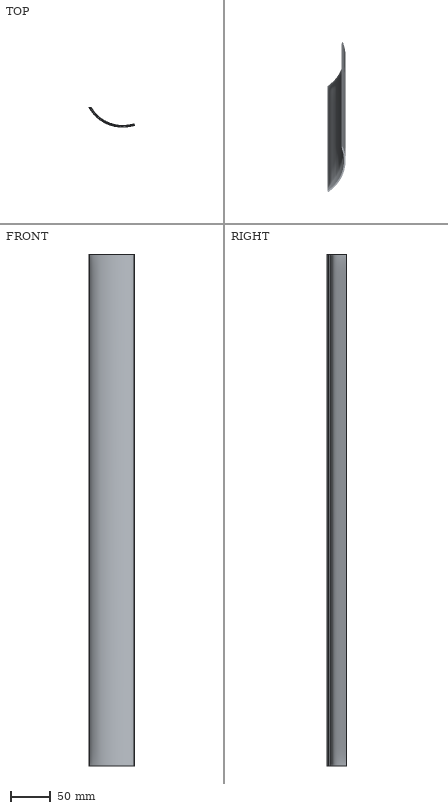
import cadquery as cq
import math

WIDTH = 57.75
DEPTH = 25.16
LENGTH = 654.0

THICKNESS = 2.0
OUTER_RADIUS = 48.8
INNER_RADIUS = OUTER_RADIUS - THICKNESS
LEFT_ANGLE = math.radians(-59.5)
RIGHT_ANGLE = math.radians(11.85)
MIDDLE_ANGLE = (LEFT_ANGLE + RIGHT_ANGLE) / 2


def on_circle(radius, angle):
    """Point on a circle about the arc axis, with the angle measured from -Y toward +X."""
    return (radius * math.sin(angle), -radius * math.cos(angle))


def along_tangent(start, angle, distance):
    """Point at a distance from start, along the arc's tangent at the angle toward +X."""
    return (start[0] + distance * math.cos(angle), start[1] + distance * math.sin(angle))


def left_flange_end(arc_end):
    """Where the left flange line through arc_end meets the end cut, which is parallel to X."""
    cut_y = DEPTH - OUTER_RADIUS
    distance = (cut_y - arc_end[1]) / math.sin(LEFT_ANGLE)
    return along_tangent(arc_end, LEFT_ANGLE, distance)


outer_left = on_circle(OUTER_RADIUS, LEFT_ANGLE)
outer_right = on_circle(OUTER_RADIUS, RIGHT_ANGLE)
inner_left = on_circle(INNER_RADIUS, LEFT_ANGLE)
inner_right = on_circle(INNER_RADIUS, RIGHT_ANGLE)

outer_left_tip = left_flange_end(outer_left)
inner_left_tip = left_flange_end(inner_left)

right_flange_length = (outer_left_tip[0] + WIDTH - outer_right[0]) / math.cos(RIGHT_ANGLE)
outer_right_tip = along_tangent(outer_right, RIGHT_ANGLE, right_flange_length)
inner_right_tip = along_tangent(inner_right, RIGHT_ANGLE, right_flange_length)

result = (
    cq.Workplane("XY")
    .moveTo(*outer_left_tip)
    .lineTo(*outer_left)
    .threePointArc(on_circle(OUTER_RADIUS, MIDDLE_ANGLE), outer_right)
    .lineTo(*outer_right_tip)
    .lineTo(*inner_right_tip)
    .lineTo(*inner_right)
    .threePointArc(on_circle(INNER_RADIUS, MIDDLE_ANGLE), inner_left)
    .lineTo(*inner_left_tip)
    .close()
    .extrude(LENGTH)
)